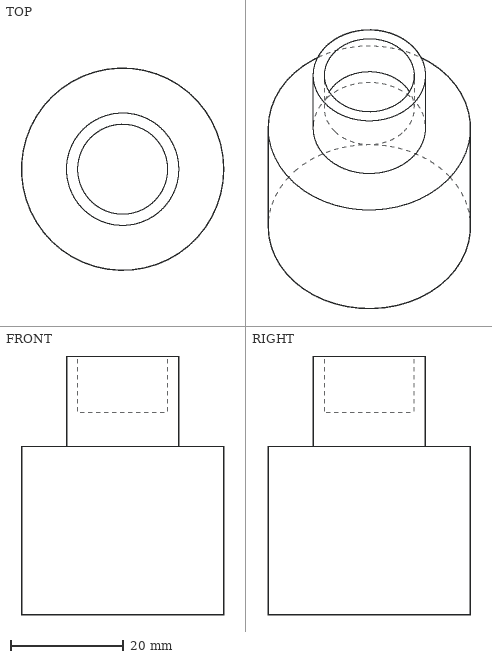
import cadquery as cq

total_height = 46
body_diameter = 36.0
body_height = 30.0

neck_diameter = 20.0
neck_height = total_height - body_height
bore_diameter = 16.0
bore_depth = 10.0

body = cq.Workplane("XY").circle(body_diameter / 2).extrude(body_height)

neck = (
    cq.Workplane("XY")
    .workplane(offset=body_height)
    .circle(neck_diameter / 2)
    .extrude(neck_height)
)

bore = (
    cq.Workplane("XY")
    .workplane(offset=total_height)
    .circle(bore_diameter / 2)
    .extrude(-bore_depth)
)

result = body.union(neck).cut(bore)